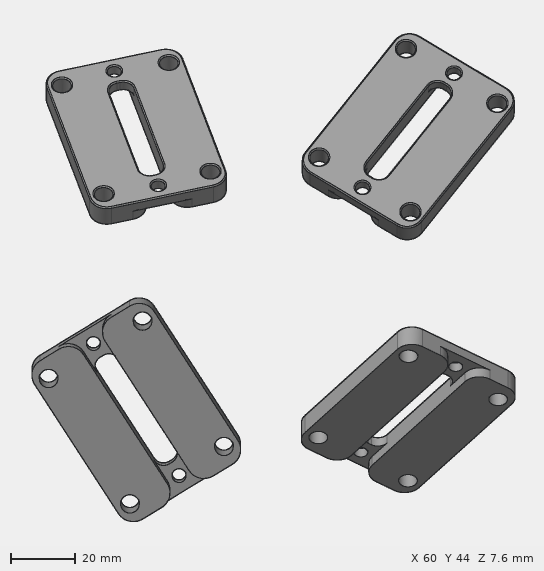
import cadquery as cq

length = 60.0
width = 44.0
height = 7.6
corner_radius = 5.5
edge_chamfer = 0.4

channel_width = 8.0
channel_depth = 3.7

slot_length = 40.4
slot_corner_radius = 3.5

corner_hole_diameter = 5.8
corner_hole_x = 23.75
corner_hole_y = 17.3
side_hole_diameter = 4.4
side_hole_x = 25.0

mirror_signs = (-1, 1)


def rounded_block(size_x, size_y, size_z, radius):
    """Block standing on Z = 0 with rounded vertical edges."""
    block = cq.Workplane("XY").box(size_x, size_y, size_z, centered=(True, True, False))
    return block.edges("|Z").fillet(radius)


def channel_cutter():
    """Everything below the plate's web that lies outside the two feet."""
    foot_width = (width - channel_width) / 2
    foot_offset = (width + channel_width) / 4
    cutter = cq.Workplane("XY").box(length, width, channel_depth, centered=(True, True, False))
    for sign in mirror_signs:
        foot = rounded_block(length, foot_width, channel_depth, corner_radius)
        cutter = cutter.cut(foot.translate((0, sign * foot_offset, 0)))
    return cutter


def hole_cutter(points, diameter):
    return cq.Workplane("XY").pushPoints(points).circle(diameter / 2).extrude(height)


corner_points = [(sx * corner_hole_x, sy * corner_hole_y) for sx in mirror_signs for sy in mirror_signs]
side_points = [(sx * side_hole_x, 0) for sx in mirror_signs]

plate = rounded_block(length, width, height, corner_radius)
plate = plate.cut(rounded_block(slot_length, channel_width, height, slot_corner_radius))
plate = plate.cut(hole_cutter(corner_points, corner_hole_diameter))
plate = plate.cut(hole_cutter(side_points, side_hole_diameter))
plate = plate.faces(">Z").edges().chamfer(edge_chamfer)

result = plate.cut(channel_cutter())